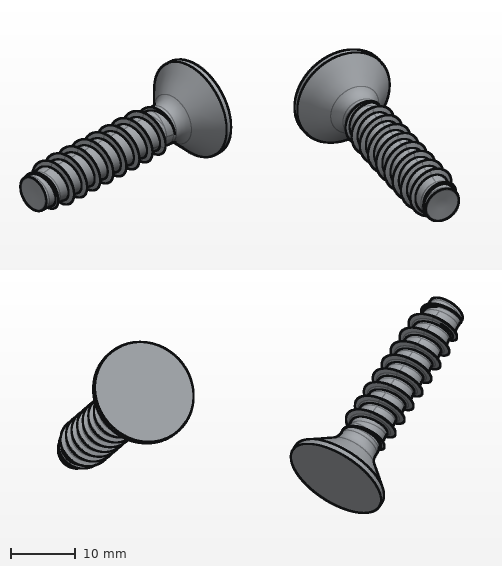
import cadquery as cq
import math

length = 35.0

head_radius = 8.0
rim_height = 1.0
cone_angle = 45.0

neck_radius = 3.2
neck_fillet = 3.25
neck_length = 0.65
taper_length = 1.2

core_radius = 2.88
dimple_radius = 2.65
dimple_depth = 0.25

pitch = 2.83
crest_radius = 4.0
crest_width = 0.05
flank_bend_radius = 3.25
flank_bend_offset = 0.27
flank_foot_offset = 0.56
ramp_radius = 3.14
ramp_start = 0.35
ramp_end = 2.25
runout_radius = 2.82
buried_radius = 2.4
thread_start_depth = 7.49
lead_in_turns = 0.95
full_height_turns = 7.3
lead_out_turns = 1.45
points_per_turn = 16

total_turns = lead_in_turns + full_height_turns + lead_out_turns
lead_in_fade = (neck_radius - runout_radius) / (crest_radius - runout_radius)


def make_body():
    """Head, neck and core turned as one profile of (radius, Y) points."""
    angle = math.radians(cone_angle)
    fillet_top_radius = neck_radius + neck_fillet * (1 - math.cos(angle))
    fillet_top = rim_height + (head_radius - fillet_top_radius) / math.tan(angle)
    fillet_bottom = fillet_top + neck_fillet * math.sin(angle)
    fillet_mid_radius = neck_radius + neck_fillet * (1 - math.cos(angle / 2))
    fillet_mid = fillet_bottom - neck_fillet * math.sin(angle / 2)
    taper_top = fillet_bottom + neck_length
    return (
        cq.Workplane("XY")
        .lineTo(head_radius, 0)
        .lineTo(head_radius, -rim_height)
        .lineTo(fillet_top_radius, -fillet_top)
        .threePointArc((fillet_mid_radius, -fillet_mid), (neck_radius, -fillet_bottom))
        .lineTo(neck_radius, -taper_top)
        .lineTo(core_radius, -taper_top - taper_length)
        .lineTo(core_radius, -length)
        .lineTo(0, -length)
        .close()
        .revolve(360, (0, 0, 0), (0, 1, 0))
    )


def thread_height(turn):
    """Share of the full thread height at a given turn, fading at both ends."""
    lead_in = lead_in_fade + (1 - lead_in_fade) * turn / lead_in_turns
    lead_out = (total_turns - turn) / lead_out_turns
    return min(1.0, lead_in, lead_out)


def thread_point(turn, radius, offset):
    """Point on the thread: a radius and an axial offset from the crest middle, both at full height.

    Points above the runout radius shrink with the thread height; those at or below it stay put.
    """
    if radius > runout_radius:
        height = thread_height(turn)
        radius = runout_radius + height * (radius - runout_radius)
        offset = height * offset
    angle = 2 * math.pi * turn
    depth = thread_start_depth + pitch * turn + offset
    return cq.Vector(radius * math.cos(angle), -depth, radius * math.sin(angle))


def helix_edge(first_turn, last_turn, radius, offset):
    steps = math.ceil((last_turn - first_turn) * points_per_turn)
    step = (last_turn - first_turn) / steps
    points = [thread_point(first_turn + i * step, radius, offset) for i in range(steps + 1)]
    return cq.Edge.makeSpline(points)


def make_thread():
    """Closed solid of ruled helical faces: lead-in, full height and lead-out."""
    half_crest = crest_width / 2
    section = [
        (buried_radius, -flank_foot_offset),
        (runout_radius, -flank_foot_offset),
        (flank_bend_radius, -flank_bend_offset),
        (crest_radius, -half_crest),
        (crest_radius, half_crest),
        (ramp_radius, ramp_start),
        (runout_radius, ramp_end),
        (buried_radius, ramp_end),
    ]
    lead_out_start = total_turns - lead_out_turns
    single_turns = [lead_out_start - i for i in range(math.floor(full_height_turns), -1, -1)]
    stations = [0, lead_in_turns] + single_turns + [total_turns]
    faces = []
    for first_turn, last_turn in zip(stations, stations[1:]):
        edges = [helix_edge(first_turn, last_turn, *corner) for corner in section]
        for edge, next_edge in zip(edges, edges[1:] + edges[:1]):
            faces.append(cq.Face.makeRuledSurface(edge, next_edge))
    for turn in (0, total_turns):
        corners = [thread_point(turn, *corner) for corner in section]
        faces.append(cq.Face.makeFromWires(cq.Wire.makePolygon(corners, close=True)))
    thread = cq.Solid.makeSolid(cq.Shell.makeShell(faces))
    return cq.Workplane(thread.fix())


def tip_waste():
    """Everything beyond the tip, including the shallow conical dimple in the end face."""
    return (
        cq.Workplane("XY")
        .moveTo(0, -length + dimple_depth)
        .lineTo(dimple_radius, -length)
        .lineTo(head_radius, -length)
        .lineTo(head_radius, -length - pitch)
        .lineTo(0, -length - pitch)
        .close()
        .revolve(360, (0, 0, 0), (0, 1, 0))
    )


screw = make_body().union(make_thread(), clean=False).cut(tip_waste(), clean=False)
result = cq.Workplane(screw.solids().val())